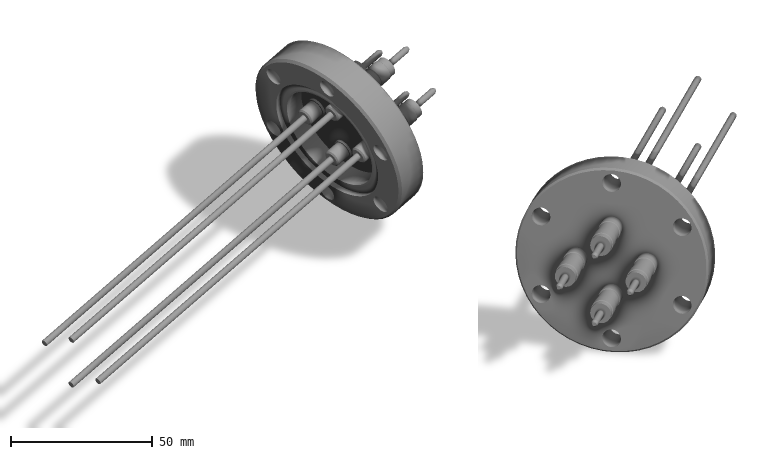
import cadquery as cq

flange_diameter = 69.9
flange_thickness = 12.8
front_chamfer = 0.9
rear_chamfer = 0.7

bolt_count = 6
bolt_circle_radius = 29.5
bolt_hole_diameter = 6.7

recess_diameter = 48.5
recess_wall_depth = 2.0
knife_edge_diameter = 41.8
knife_edge_depth = 1.2
bore_diameter = 40.6
bore_depth = 8.9

pin_count = 4
pin_circle_radius = 12.8
pin_diameter = 2.5
pin_length = 177.3
pin_rear_reach = 29.8
pin_tip_radial_chamfer = 0.5
pin_tip_chamfer_length = 1.0

sleeve_diameter = 7.5
sleeve_rear_reach = 19.0
collar_diameter = 8.0
collar_edge_chamfer = (collar_diameter - sleeve_diameter) / 2
inner_collar_reach = 4.8
outer_collar_start = 11.5
outer_collar_end = 16.5

lip_length = 0.9
nose_diameter = 6.4
nose_front_y = 2.1
nose_chamfer = 0.5


def cylinder_along_y(diameter, start_y, end_y):
    """Cylinder on the Y axis between two Y positions."""
    disc = cq.Workplane("XZ", origin=(0, start_y, 0)).circle(diameter / 2)
    return disc.extrude(start_y - end_y)


def ring_of_copies(body, count, radius):
    """Copies of a body evenly spaced on a circle around the Y axis, the first one at +Z."""
    first = body.translate((0, 0, radius))
    return [first.rotate((0, 0, 0), (0, 1, 0), i * 360 / count) for i in range(count)]


def make_flange():
    """Bolted disc with a knife-edged recess in its front face."""
    flange_radius = flange_diameter / 2
    profile = (
        cq.Workplane("XY")
        .moveTo(0, bore_depth)
        .lineTo(bore_diameter / 2, bore_depth)
        .lineTo(bore_diameter / 2, knife_edge_depth)
        .lineTo(knife_edge_diameter / 2, knife_edge_depth)
        .lineTo(recess_diameter / 2, recess_wall_depth)
        .lineTo(recess_diameter / 2, 0)
        .lineTo(flange_radius - front_chamfer, 0)
        .lineTo(flange_radius, front_chamfer)
        .lineTo(flange_radius, flange_thickness - rear_chamfer)
        .lineTo(flange_radius - rear_chamfer, flange_thickness)
        .lineTo(0, flange_thickness)
        .close()
    )
    flange = profile.revolve(360, (0, 0, 0), (0, 1, 0))
    bolt_hole = cylinder_along_y(bolt_hole_diameter, 0, flange_thickness)
    for hole in ring_of_copies(bolt_hole, bolt_count, bolt_circle_radius):
        flange = flange.cut(hole)
    return flange


def make_pin():
    """Long rod passing through the flange."""
    rear_tip_y = flange_thickness + pin_rear_reach
    pin = cylinder_along_y(pin_diameter, rear_tip_y - pin_length, rear_tip_y)
    return pin.faces(">Y").chamfer(pin_tip_chamfer_length, pin_tip_radial_chamfer)


def make_sleeve():
    """Insulator with a nose inside the bore and two collars behind the flange."""
    rear_y = flange_thickness
    body = cylinder_along_y(sleeve_diameter, bore_depth - lip_length, rear_y + sleeve_rear_reach)

    nose = cylinder_along_y(nose_diameter, nose_front_y, bore_depth)
    nose = nose.faces("<Y").chamfer(nose_chamfer)

    inner_collar = cylinder_along_y(collar_diameter, bore_depth, rear_y + inner_collar_reach)
    inner_collar = inner_collar.faces(">Y").chamfer(collar_edge_chamfer)

    outer_collar = cylinder_along_y(
        collar_diameter, rear_y + outer_collar_start, rear_y + outer_collar_end
    )
    outer_collar = outer_collar.faces("<Y or >Y").chamfer(collar_edge_chamfer)

    return body.union(nose).union(inner_collar).union(outer_collar)


result = make_flange()
feedthrough = make_pin().union(make_sleeve())
for placed_feedthrough in ring_of_copies(feedthrough, pin_count, pin_circle_radius):
    result = result.union(placed_feedthrough)